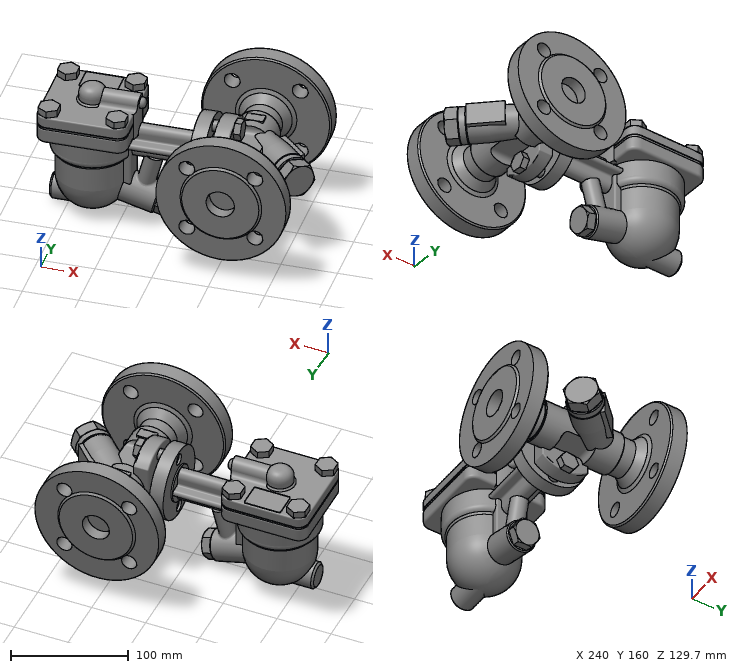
import cadquery as cq
import math

overall_length = 240.0

face_to_face = 160.0
flange_d = 115.0
flange_thickness = 16.0
flange_edge_chamfer = 1.5
raised_face_height = 2.0
raised_face_base_d = 72.0
bolt_circle_d = 85.0
flange_hole_d = 14.0
flange_hole_count = 4
bore_d = 25.0
bore_depth = 11.0

hub_d = 54.2
hub_length = 9.8
hub_root_d = 47.0
hub_root_length = 2.0
pipe_d = 34.5
sleeve_d = 39.0
sleeve_half_length = 39.8
sleeve_chamfer = 0.7

label_pad_x = 16.3
label_pad_y = 9.8
label_pad_top = 19.7
label_pad_place = 28.3
label_pad_corner = 1.0

branch_angle = 45
branch_start_y = 27.0
branch_root_d = 27.0
branch_d = 32.6
branch_cone_length = 38.5
branch_band_d = 32.6
branch_band_start = 57.8
branch_band_end = 65.5
branch_band_chamfer = 1.0
branch_hex_corners = 33.4
branch_hex_turn = -15
branch_pad_start = 24.2
branch_pad_inner = 10.0
branch_pad_outer = 16.3
branch_pad_height = 21.5

joint_x = -22.8
mount_thickness = 14.5
mount_d = 67.2
mount_width = 46.0
mount_edge_fillet = 1.2
mount_bolt_z = 25.7
mount_bolt_places = [(0, mount_bolt_z), (0, -mount_bolt_z)]
mount_bolt_d = 10.0
mount_bolt_recess = 2.2
mount_head_flats = 16.0
mount_head_height = 6.2
mount_head_turn = -5
seat_height = 12.0
seat_length = 26.5
seat_width = 24.0
seat_wall_radius = 4.8

trap_x = -135.0
trap_y = -2.2

collar_d = 35.0
collar_length = 5.3
ring_thickness = 13.0
neck_d = 34.0
neck_height = 1.5
arm_half_height = 15.95
arm_web_thickness = 13.0
arm_half_width = 16.5
arm_wing_thickness = 5.8
arm_corner_fillet = 2.0

cap_size = 80.2
cap_corner = 9.5
cover_top = 33.4
cover_bottom = 23.5
cover_edge_fillet = 1.5
gasket_bottom = 21.5
gasket_inset = 0.7
rim_bottom = 8.0
rim_top_fillet = 1.5
rim_bottom_fillet = 2.6
bulge_half_width = 14.0
bulge_reach = 2.6

shell_upper_r = 36.5
shell_upper_bottom = -8.6
shell_step_z = -15.0
shell_step_r = 33.4
shell_bend_r = 35.8
shell_bend_z = -12.7
shell_r = 32.2
shell_neck_z = -17.0
dome_center_z = -39.95

cover_bolt_pitch = 60.0
cover_bolt_flats = 17.0
cover_bolt_height = 6.5
nameplate_x = 33.5
nameplate_y = 22.3
nameplate_height = 0.7
nameplate_corner = 1.2
nameplate_offset_y = 27.0

knob_d = 24.0
knob_top = 48.0
knob_round = 8.2
knob_foot = 1.7
duct_d = 16.0
duct_axis_z = 37.5
duct_base_half_width = 13.2
nub_d = 10.0
nub_length = 4.5
nub_round = 3.4

drain_d = 24.0
drain_z = -59.8
drain_face_x = -170.5
drain_chamfer = 2.0

plug_tilt = 15
plug_boss_d = 29.0
plug_end_x = -76.3
plug_end_z = -56.5
plug_boss_length = 38.5
plug_boss_chamfer = 1.2
plug_hex_flats = 23.3
plug_hex_height = 9.0
leg_d = 16.0
leg_top_x = -80.2
leg_top_z = -13.5
leg_length = 38.5
leg_blend = 2.0
rib_end_x = -98.2
rib_width = 22.0
rib_edge_fillet = 1.7
rib_bottom = -48.0

bevel_slope = math.tan(math.radians(30))


def hexagon_d(flats):
    """Diameter across the corners of a hexagon with the given width across flats."""
    return flats / math.cos(math.radians(30))


def bevel_width(corners_d):
    """Bevel that reaches from the corners of a hexagon to its inscribed circle."""
    return corners_d / 2 * (1 - math.cos(math.radians(30)))


def hexagon_head(start, corners_d, height, turn):
    """Hexagon on the workplane `start`, turned about its axis, with its outer corners bevelled."""
    bevel = bevel_width(corners_d)
    bevel_height = bevel * bevel_slope
    head = start.transformed(rotate=(0, 0, turn)).polygon(6, corners_d).extrude(height)
    envelope = (
        start.circle(corners_d / 2)
        .extrude(height)
        .faces(cq.selectors.DirectionMinMaxSelector(start.plane.zDir))
        .chamfer(bevel_height, bevel)
    )
    return head.intersect(envelope)


def flanged_end():
    """Pipe end at +Y: raised face, drilled flange, cone hub and blind bore."""
    face_y = face_to_face / 2
    flange_front = face_y - raised_face_height
    flange_back = flange_front - flange_thickness
    hub_end = flange_back - hub_length
    profile = [
        (0, 0),
        (pipe_d / 2, 0),
        (pipe_d / 2, hub_end),
        (hub_root_d / 2, flange_back - hub_root_length),
        (hub_d / 2, flange_back),
        (flange_d / 2 - flange_edge_chamfer, flange_back),
        (flange_d / 2, flange_back + flange_edge_chamfer),
        (flange_d / 2, flange_front),
        (raised_face_base_d / 2, flange_front),
        (raised_face_base_d / 2 - raised_face_height, face_y),
        (0, face_y),
    ]
    end = cq.Workplane("XY").polyline(profile).close().revolve(360, (0, 0, 0), (0, 1, 0))
    face = cq.Workplane("XZ", origin=(0, face_y, 0))
    bore = face.circle(bore_d / 2).extrude(bore_depth)
    first_angle = 180 / flange_hole_count
    holes = (
        face.polarArray(bolt_circle_d / 2, first_angle, 360, flange_hole_count)
        .circle(flange_hole_d / 2)
        .extrude(raised_face_height + flange_thickness)
    )
    return end.cut(bore).cut(holes)


def sleeve():
    """Thicker middle of the pipe with flat label pads on top."""
    tube = (
        cq.Workplane("XZ")
        .circle(sleeve_d / 2)
        .extrude(sleeve_half_length, both=True)
        .faces("<Y or >Y")
        .chamfer(sleeve_chamfer)
    )
    pads = (
        cq.Workplane("XY")
        .pushPoints([(0, label_pad_place), (0, -label_pad_place)])
        .rect(label_pad_x, label_pad_y)
        .extrude(label_pad_top)
        .edges("|Z")
        .fillet(label_pad_corner)
    )
    return tube.union(pads)


def strainer_branch():
    """Slanted branch in the XY plane: barrel, end band, hexagon plug and a flat side pad."""
    slant = math.radians(branch_angle)
    along = (math.cos(slant), -math.sin(slant), 0)
    reach_x = trap_x - cap_size / 2 + overall_length
    corner_offset = branch_hex_corners / 2 * math.cos(math.radians(branch_hex_turn))
    corner_depth = bevel_width(branch_hex_corners) * bevel_slope
    hex_end = (reach_x - corner_offset * math.sin(slant)) / math.cos(slant) + corner_depth
    plane = cq.Plane(origin=(0, branch_start_y, 0), xDir=(math.sin(slant), math.cos(slant), 0), normal=along)
    start = cq.Workplane(plane)
    cone = (
        start.circle(branch_root_d / 2)
        .workplane(offset=branch_cone_length)
        .circle(branch_d / 2)
        .loft()
    )
    barrel = (
        start.workplane(offset=branch_cone_length)
        .circle(branch_d / 2)
        .extrude(branch_band_start - branch_cone_length)
    )
    band = (
        start.workplane(offset=branch_band_start)
        .circle(branch_band_d / 2)
        .extrude(branch_band_end - branch_band_start)
        .edges()
        .chamfer(branch_band_chamfer)
    )
    plug_start = start.workplane(offset=branch_band_end)
    plug = hexagon_head(plug_start, branch_hex_corners, hex_end - branch_band_end, branch_hex_turn)
    pad = (
        start.workplane(offset=branch_pad_start)
        .center((branch_pad_inner + branch_pad_outer) / 2, 0)
        .rect(branch_pad_outer - branch_pad_inner, branch_pad_height)
        .extrude(branch_band_start - branch_pad_start)
    )
    return cone.union(barrel).union(band).union(plug).union(pad)


def joint_plane(x):
    """Plane across the arm axis at x, centred on the trap axis."""
    return cq.Workplane("YZ", origin=(x, trap_y, 0))


def mount_flange():
    """Round flange with two flat sides that carries the trap."""
    plate = joint_plane(joint_x).circle(mount_d / 2).extrude(mount_thickness)
    sides = joint_plane(joint_x).rect(mount_width, mount_d).extrude(mount_thickness)
    return plate.intersect(sides).edges().fillet(mount_edge_fillet)


def bolt_seats():
    """Cutters that flatten the sleeve above and below for the mounting bolt heads."""
    seat_start = joint_x + mount_thickness
    depth = label_pad_top - seat_height + seat_wall_radius
    upper = (
        cq.Workplane("XY", origin=(seat_start + seat_length / 2, trap_y, seat_height))
        .box(seat_length, seat_width + 2 * seat_wall_radius, depth, centered=(True, True, False))
        .faces("<Z")
        .edges("|X")
        .fillet(seat_wall_radius)
    )
    return upper.union(upper.mirror("XY"))


def mount_bolts():
    """Two bolts: head behind the mount flange, shank reaching into the trap's ring."""
    shank_start = joint_x - collar_length - ring_thickness + mount_bolt_recess
    head_start = joint_x + mount_thickness
    bolts = (
        joint_plane(shank_start)
        .pushPoints(mount_bolt_places)
        .circle(mount_bolt_d / 2)
        .extrude(head_start - shank_start)
    )
    for y, z in mount_bolt_places:
        head = (
            joint_plane(head_start)
            .polygon(6, hexagon_d(mount_head_flats))
            .extrude(mount_head_height)
            .rotate((0, trap_y, 0), (1, trap_y, 0), mount_head_turn)
            .translate((0, y, z))
        )
        bolts = bolts.union(head)
    return bolts


def build_connector():
    end = flanged_end()
    run = sleeve().cut(bolt_seats())
    body = run.union(strainer_branch()).union(mount_flange()).union(mount_bolts())
    sleeve_room = cq.Workplane("XZ").circle(flange_d).extrude(sleeve_half_length, both=True)
    end = end.cut(sleeve_room)
    return body.union(end).union(end.mirror("XZ"))


def trap_plane(z):
    """Horizontal plane at height z, centred on the trap's upright axis."""
    return cq.Workplane("XY", origin=(trap_x, trap_y, z))


def shell():
    """Bucket-shaped housing: stepped cylinder closed by a half sphere."""
    diagonal = shell_r / math.sqrt(2)
    outline = (
        cq.Workplane("XZ")
        .moveTo(0, cover_bottom)
        .lineTo(0, dome_center_z - shell_r)
        .threePointArc((diagonal, dome_center_z - diagonal), (shell_r, dome_center_z))
        .lineTo(shell_r, shell_neck_z)
        .lineTo(shell_step_r, shell_step_z)
        .threePointArc((shell_bend_r, shell_bend_z), (shell_upper_r, shell_upper_bottom))
        .lineTo(shell_upper_r, cover_bottom)
        .close()
    )
    return outline.revolve(360, (0, 0, 0), (0, 1, 0)).translate((trap_x, trap_y, 0))


def square_plate(size, corner, bottom, top):
    return trap_plane(bottom).rect(size, size).extrude(top - bottom).edges("|Z").fillet(corner)


def bulge_block(bottom, top):
    """Block from the trap's axis to the arm side of the cap, with a bulging end."""
    side = cap_size / 2
    return (
        trap_plane(bottom)
        .moveTo(0, -bulge_half_width)
        .lineTo(side, -bulge_half_width)
        .threePointArc((side + bulge_reach, 0), (side, bulge_half_width))
        .lineTo(0, bulge_half_width)
        .close()
        .extrude(top - bottom)
    )


def cap():
    """Housing rim, gasket and cover, with the passage bulge on the arm side."""
    rim = square_plate(cap_size, cap_corner, rim_bottom, gasket_bottom)
    rim = rim.faces(">Z").edges().fillet(rim_top_fillet)
    rim = rim.faces("<Z").edges().fillet(rim_bottom_fillet)
    gasket = square_plate(
        cap_size - 2 * gasket_inset, cap_corner - gasket_inset, gasket_bottom - rim_top_fillet, cover_bottom
    )
    cover = square_plate(cap_size, cap_corner, cover_bottom, cover_top)
    cover = cover.faces(">Z").edges().fillet(cover_edge_fillet)
    bulge = bulge_block(rim_bottom, cover_top)
    return rim.union(gasket).union(cover).union(bulge)


def cover_bolts():
    return (
        trap_plane(cover_top)
        .transformed(rotate=(0, 0, 90))
        .rect(cover_bolt_pitch, cover_bolt_pitch, forConstruction=True)
        .vertices()
        .polygon(6, hexagon_d(cover_bolt_flats))
        .extrude(cover_bolt_height)
    )


def nameplate():
    return (
        trap_plane(cover_top)
        .center(0, nameplate_offset_y)
        .rect(nameplate_x, nameplate_y)
        .extrude(nameplate_height)
        .edges("|Z")
        .fillet(nameplate_corner)
    )


def cover_duct():
    """Round-topped duct on the cover, from the knob to the bulge, with a nub at its end."""
    radius = duct_d / 2
    wall_height = duct_axis_z - cover_top
    flare = duct_base_half_width - radius
    bend = 1 - math.sqrt(0.5)
    flare_mid_y = radius + flare * bend
    flare_mid_z = wall_height * bend
    duct = (
        cq.Workplane("YZ", origin=(trap_x, trap_y, cover_top))
        .moveTo(-duct_base_half_width, 0)
        .threePointArc((-flare_mid_y, flare_mid_z), (-radius, wall_height))
        .threePointArc((0, wall_height + radius), (radius, wall_height))
        .threePointArc((flare_mid_y, flare_mid_z), (duct_base_half_width, 0))
        .close()
        .extrude(cap_size / 2 + bulge_reach)
    )
    side = trap_x + cap_size / 2
    footprint = bulge_block(cover_top, knob_top)
    nub = (
        cq.Workplane("YZ", origin=(side, trap_y, duct_axis_z))
        .circle(nub_d / 2)
        .extrude(bulge_reach + nub_length)
        .faces(">X")
        .edges()
        .fillet(nub_round)
    )
    return duct.intersect(footprint).union(nub)


def knob():
    """Dome-topped knob with a bevelled foot."""
    dome = (
        trap_plane(cover_top)
        .circle(knob_d / 2)
        .extrude(knob_top - cover_top)
        .faces(">Z")
        .edges()
        .fillet(knob_round)
    )
    foot = trap_plane(cover_top).circle(knob_d / 2 + knob_foot).extrude(knob_foot, taper=45)
    return dome.union(foot)


def drain_boss():
    return (
        cq.Workplane("YZ", origin=(drain_face_x, trap_y, drain_z))
        .circle(drain_d / 2)
        .extrude(trap_x - drain_face_x)
        .faces("<X")
        .chamfer(drain_chamfer)
    )


def plug_boss():
    """Tilted boss low on the housing with a hexagon plug at its end."""
    tilt = math.radians(plug_tilt)
    along = (math.cos(tilt), 0, -math.sin(tilt))
    plane = cq.Plane(origin=(plug_end_x, trap_y, plug_end_z), xDir=(0, 1, 0), normal=along)
    boss = cq.Workplane(plane).circle(plug_boss_d / 2).extrude(-plug_boss_length)
    boss = boss.faces(cq.selectors.DirectionMinMaxSelector(cq.Vector(*along))).chamfer(plug_boss_chamfer)
    plug = hexagon_head(cq.Workplane(plane), hexagon_d(plug_hex_flats), plug_hex_height, 0)
    return boss.union(plug)


def leg():
    """Tube from the arm down to the plug boss, square to the boss axis."""
    tilt = math.radians(plug_tilt)
    down = (-math.sin(tilt), 0, -math.cos(tilt))
    plane = cq.Plane(origin=(leg_top_x, trap_y, leg_top_z), xDir=(0, 1, 0), normal=down)
    return cq.Workplane(plane).circle(leg_d / 2).extrude(leg_length)


def drain_leg():
    """Plug boss and leg, blended where the leg lands on the boss."""
    joined = plug_boss().union(leg())
    return joined.edges("%BSPLINE").fillet(leg_blend)


def side_rib():
    """Upright rib on the arm side of the housing."""
    length = rib_end_x - trap_x
    return (
        trap_plane(rib_bottom)
        .center(length / 2, 0)
        .rect(length, rib_width)
        .extrude(rim_bottom - rib_bottom)
        .edges("|Z and >X")
        .fillet(rib_edge_fillet)
    )


def arm():
    """Cross-shaped arm with round rib ends, from the housing axis to the ring."""
    ring_front = joint_x - collar_length - ring_thickness
    length = ring_front - trap_x
    start = cq.Workplane("YZ", origin=(trap_x, trap_y, 0))
    web = start.slot2D(2 * arm_half_height, arm_web_thickness, 90).extrude(length)
    wing = start.slot2D(2 * arm_half_width, arm_wing_thickness).extrude(length)
    inner_corners = cq.selectors.BoxSelector(
        (trap_x, trap_y - arm_web_thickness / 2 - 0.2, -arm_wing_thickness),
        (ring_front, trap_y + arm_web_thickness / 2 + 0.2, arm_wing_thickness),
    )
    return web.union(wing).edges("|X").edges(inner_corners).fillet(arm_corner_fillet)


def ring():
    """Bolted ring with the raised neck in front and the joint collar behind."""
    ring_back = joint_x - collar_length
    ring_front = ring_back - ring_thickness
    plate = (
        joint_plane(ring_front)
        .circle(mount_d / 2)
        .pushPoints(mount_bolt_places)
        .circle(mount_bolt_d / 2)
        .extrude(ring_thickness)
    )
    collar = joint_plane(ring_back).circle(collar_d / 2).extrude(collar_length)
    neck = joint_plane(ring_front - neck_height).circle(neck_d / 2).extrude(neck_height)
    return plate.union(collar).union(neck)


def build_trap():
    body = shell().union(cap())
    parts = [
        cover_bolts(), nameplate(), cover_duct(), knob(), drain_boss(),
        drain_leg(), side_rib(), arm(), ring(),
    ]
    for part in parts:
        body = body.union(part)
    return body


connector = build_connector()
trap = build_trap()
result = cq.Compound.makeCompound([connector.val(), trap.val()])